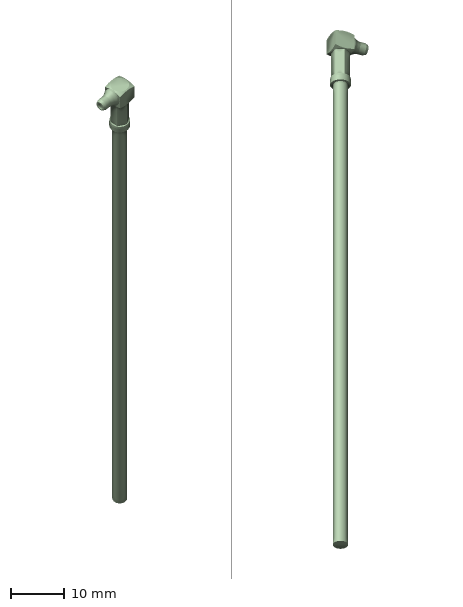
import cadquery as cq

total_height = 112.5

head_width = 3.9
head_height = 3.9
head_crown_diameter = 3.5
head_crown_drop = 0.5

hex_across_flats = 3.2
hex_corner_ratio = 2 / 3**0.5
stem_corner_diameter = 3.5

ring_diameter = 3.9
ring_top_diameter = 3.8
ring_top = 103.1
ring_taper_height = 0.5
ring_bottom = 101.6
cable_diameter = 2.8

boss_diameter = 3.5
boss_end = 0.3
taper_end = 0.9
collar_diameter = 2.8
collar_end = 1.6
nose_diameter = 2.4
plug_length = 3.4
nose_tip_diameter = 1.9
nose_taper_length = 0.6

bore_diameter = 1.4
bore_depth = 1.7
pin_diameter = 0.51
pin_recess = 0.6

head_front_y = -head_width / 2
head_bottom = total_height - head_height
plug_axis_z = total_height - boss_diameter / 2
plug_tip_y = head_front_y - plug_length


def vertical_cylinder(diameter, bottom, top):
    return cq.Workplane("XY").workplane(offset=bottom).circle(diameter / 2).extrude(top - bottom)


def plug_cylinder(diameter, start_y, end_y):
    """Cylinder on the plug axis, from start_y forward (toward -Y) to end_y."""
    plane = cq.Plane(origin=(0, start_y, plug_axis_z), xDir=(1, 0, 0), normal=(0, -1, 0))
    return cq.Workplane(plane).circle(diameter / 2).extrude(start_y - end_y)


def make_head():
    """Square block whose top and bottom corners are cut by cones around the vertical axis."""
    block = (
        cq.Workplane("XY")
        .workplane(offset=head_bottom)
        .rect(head_width, head_width)
        .extrude(head_height)
    )
    crown_radius = head_crown_diameter / 2
    corner_radius = head_width / 2 * 2**0.5
    crown = (
        cq.Workplane("XZ")
        .moveTo(0, head_bottom)
        .lineTo(crown_radius, head_bottom)
        .lineTo(corner_radius, head_bottom + head_crown_drop)
        .lineTo(corner_radius, total_height - head_crown_drop)
        .lineTo(crown_radius, total_height)
        .lineTo(0, total_height)
        .close()
        .revolve(360, (0, 0, 0), (0, 1, 0))
    )
    return block.intersect(crown)


def make_stem():
    """Hexagonal stem with a flat toward the plug side and its corners rounded about Z."""
    hexagon = (
        cq.Workplane("XY")
        .workplane(offset=ring_top)
        .polygon(6, hex_across_flats * hex_corner_ratio)
        .extrude(head_bottom - ring_top)
    )
    return hexagon.intersect(vertical_cylinder(stem_corner_diameter, ring_top, head_bottom))


def make_plug():
    """Plug turned around its axis: boss, taper, conical collar and nose, without the socket."""
    boss_radius = boss_diameter / 2
    collar_radius = collar_diameter / 2
    nose_radius = nose_diameter / 2
    tip_radius = nose_tip_diameter / 2
    root = -head_width / 2
    plane = cq.Plane(origin=(0, head_front_y, plug_axis_z), xDir=(0, -1, 0), normal=(1, 0, 0))
    return (
        cq.Workplane(plane)
        .moveTo(root, 0)
        .lineTo(root, boss_radius)
        .lineTo(boss_end, boss_radius)
        .lineTo(taper_end, collar_radius)
        .lineTo(collar_end, nose_radius)
        .lineTo(plug_length - nose_taper_length, nose_radius)
        .lineTo(plug_length, tip_radius)
        .lineTo(plug_length, 0)
        .close()
        .revolve(360, (0, 0, 0), (1, 0, 0))
    )


def make_shell():
    socket = plug_cylinder(bore_diameter, plug_tip_y + bore_depth, plug_tip_y)
    return make_head().union(make_stem()).union(make_plug()).cut(socket)


def make_pin():
    """Contact pin standing on the floor of the socket."""
    return plug_cylinder(pin_diameter, plug_tip_y + bore_depth, plug_tip_y + pin_recess)


def make_crimp_ring():
    """Round ring around the cable end, tapering inward at its top."""
    bore_radius = cable_diameter / 2
    outer_radius = ring_diameter / 2
    return (
        cq.Workplane("XZ")
        .moveTo(bore_radius, ring_bottom)
        .lineTo(outer_radius, ring_bottom)
        .lineTo(outer_radius, ring_top - ring_taper_height)
        .lineTo(ring_top_diameter / 2, ring_top)
        .lineTo(bore_radius, ring_top)
        .close()
        .revolve(360, (0, 0, 0), (0, 1, 0))
    )


def make_cable():
    """Cable running through the crimp ring up to the stem."""
    return vertical_cylinder(cable_diameter, 0, ring_top)


shell = make_shell()
pin = make_pin()
crimp_ring = make_crimp_ring()
cable = make_cable()

result = cq.Compound.makeCompound([shell.val(), pin.val(), crimp_ring.val(), cable.val()])